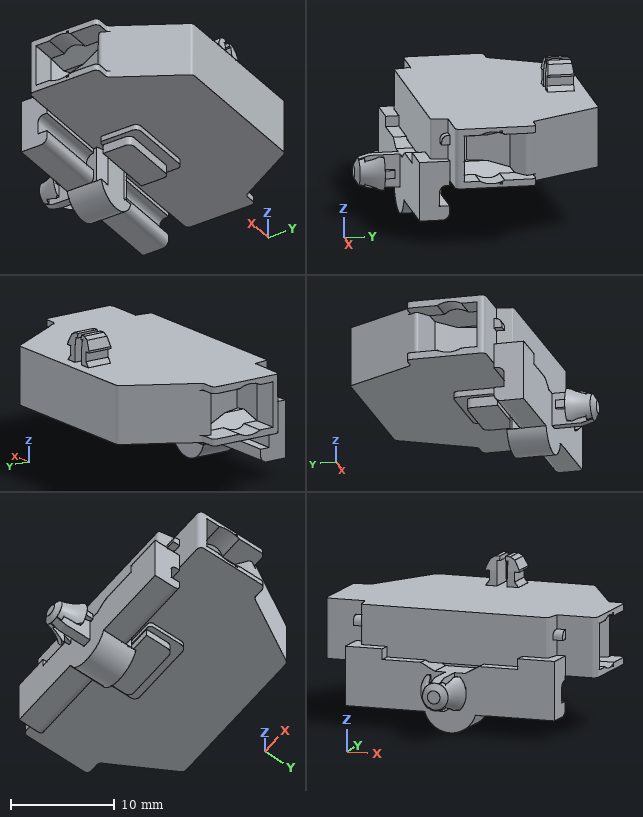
import cadquery as cq
import math


HOUSING_HEIGHT = 6.0
HOUSING_MID_Z = HOUSING_HEIGHT / 2
HOUSING_BACK_Y = 18.2
SHOULDER_Y = 10.95
WING_FRONT_Y = 3.0
WING_HALF_WIDTH = 14.08
BACK_HALF_WIDTH = 8.2
FLANK_ANGLE = math.radians(30)
SHOULDER_HALF_WIDTH = BACK_HALF_WIDTH + (HOUSING_BACK_Y - SHOULDER_Y) * math.tan(FLANK_ANGLE)
CORNER_RADIUS = 0.5

NOSE_FRONT_Y = 1.3
NOSE_BOTTOM_Z = 0.75
NOSE_ROOT_HALF_WIDTH = 9.98
NOSE_TIP_HALF_WIDTH = 9.68
NOSE_RADIUS = 0.25

ENTRY_HALF_HEIGHT = 2.3
ENTRY_FRONT_Y = 3.83
ENTRY_KNEE_Y = 10.27
ENTRY_KNEE_X = SHOULDER_HALF_WIDTH + (SHOULDER_Y - ENTRY_KNEE_Y) * math.tan(FLANK_ANGLE)
ENTRY_KNEE_RADIUS = 0.36
ENTRY_MARGIN = 1.0
FUNNEL_X = 11.4
FUNNEL_SLOPE = 1.2
THROAT_HALF_HEIGHT = 1.28
THROAT_X = FUNNEL_X - FUNNEL_SLOPE * (ENTRY_HALF_HEIGHT - THROAT_HALF_HEIGHT)
FLOOR_FRONT_Y = 4.87
FLOOR_FRONT_X = 9.56
FLOOR_BEND_Y = 7.85
FLOOR_BEND_X = 10.51
FLOOR_BACK_Y = 8.93
FLOOR_BACK_X = 10.86
BORE_Y = 6.6
BORE_RADIUS = 2.6
BORE_X = FUNNEL_X + FUNNEL_SLOPE * (BORE_RADIUS - ENTRY_HALF_HEIGHT)

NUB_Y = 7.47
NUB_LENGTH = 0.2
NUB_HEIGHT = 0.16
NUB_PROJECTION = 0.04
NUB_EDGE_OFFSET = 0.42

PLATE_HALF_WIDTH = 10.85
PLATE_BACK_Y = WING_FRONT_Y
PLATE_TOP_Z = 2.0
PLATE_BOTTOM_Z = -3.9
PLATE_STEP_X = 7.02
PLATE_STEP_Z = 0.95
DIP_Z = 0.17
DIP_TOP_HALF_WIDTH = 3.02
DIP_BOTTOM_HALF_WIDTH = 1.58
PLATE_BACK_RADIUS = 0.75
LIP_TOP_Z = -2.48
NOTCH_FRONT_Y = 1.98
NOTCH_TOP_Z = -0.45
NOTCH_RADIUS = 0.7

BULB_BACK_Y = 3.95
BULB_BOTTOM_Z = -5.84
BULB_HALF_CHORD = 2.64
BARB_Y = 3.42
BARB_FRONT_TAPER = 0.4
BARB_BACK_TAPER = 1.2

CATCH_INNER_X = 9.6
CATCH_TOP_Z = 4.6
CATCH_BOTTOM_Z = 3.65
CATCH_FRONT_Y = 2.2
CATCH_RADIUS = 0.65

CLIP_FRONT_Y = 14.36
CLIP_BACK_Y = 17.0
CLIP_TOP_Z = 8.95
CLIP_BARB_Z = 7.5
CLIP_BARB_EDGE_Z = 7.7
CLIP_NECK_Z = 6.52
CLIP_SLOT_TOP_Z = 8.5
CLIP_ROOT_X = 1.7
CLIP_NECK_X = 1.3
CLIP_BARB_X = 1.77
CLIP_CROWN_X = 0.8
CLIP_BEVEL_X = 1.28
CLIP_BEVEL_Z = 8.66
CLIP_SLOT_X = 0.54
CLIP_MOUTH_X = 0.29
CLIP_END_TAPER = 0.17

PEG_Z = -1.48
PEG_HALF_HEIGHT = 1.65
STEM_HALF_WIDTH = 0.48
PEG_TIP_Y = -4.5
PEG_TIP_RADIUS = 0.65
PEG_CHAMFER_Y = -4.07
PEG_CHAMFER_RADIUS = 1.33
PEG_FLARE_Y = -2.95
PEG_SKIRT_Y = -1.78
PEG_SKIRT_RADIUS = 2.36
ARM_ROOT_Y = -3.5
ARM_ROOT_X = 0.86
TAB_END_Y = -0.74
TAB_INNER_X = 1.58
TAB_OUTER_X = 1.92
TAB_HALF_HEIGHT = 0.4

PAD_HALF_WIDTH = 4.0
LOWER_PAD_HALF_WIDTH = 3.4
PAD_FRONT_Y = 4.6
PAD_BACK_Y = 9.05
PAD_BOTTOM_Z = -0.6
PAD_FRONT_RADIUS = 0.42
PAD_BACK_RADIUS = 0.62
LOWER_PAD_FRONT_Y = 4.67
LOWER_PAD_BACK_Y = 7.86
LOWER_PAD_BOTTOM_Z = -1.6


def both_sides(half):
    """A feature together with its mirror image across the X = 0 plane."""
    return half.union(half.mirror("YZ"))


def block(x_range, y_range, z_range):
    """Axis-aligned box given by its limits along X, Y and Z."""
    spans = (x_range, y_range, z_range)
    sizes = [high - low for low, high in spans]
    corner = tuple(low for low, high in spans)
    return cq.Workplane("XY").box(*sizes, centered=False).translate(corner)


def mirrored_outline(right_points):
    """Closed outline from the points of its right half."""
    left_points = [(-x, v) for x, v in reversed(right_points)]
    return right_points + left_points


def front_prism(points, y_front, y_back):
    """Extrude an X-Z outline from y_front to y_back."""
    plane = cq.Workplane("XZ", origin=(0, y_front, 0))
    return plane.polyline(points).close().extrude(y_front - y_back)


def make_housing():
    outline = mirrored_outline([
        (WING_HALF_WIDTH, WING_FRONT_Y),
        (WING_HALF_WIDTH, SHOULDER_Y),
        (SHOULDER_HALF_WIDTH, SHOULDER_Y),
        (BACK_HALF_WIDTH, HOUSING_BACK_Y),
    ])
    main = cq.Workplane("XY").polyline(outline).close().extrude(HOUSING_HEIGHT)
    main = main.edges("|Z").fillet(CORNER_RADIUS)

    nose_outline = mirrored_outline([
        (NOSE_TIP_HALF_WIDTH, NOSE_FRONT_Y),
        (NOSE_ROOT_HALF_WIDTH, WING_FRONT_Y),
    ])
    nose = cq.Workplane("XY").workplane(offset=NOSE_BOTTOM_Z).polyline(nose_outline).close()
    nose = nose.extrude(HOUSING_HEIGHT - NOSE_BOTTOM_Z)
    nose = nose.edges("|Z").edges("<Y").fillet(NOSE_RADIUS)
    return main.union(nose)


def make_wire_entry():
    """Cutter for the right-hand wire entry: slot and bore narrowing to a funnel."""
    outer_x = WING_HALF_WIDTH + ENTRY_MARGIN
    outer_y = SHOULDER_Y + ENTRY_MARGIN
    flank_x = SHOULDER_HALF_WIDTH - ENTRY_MARGIN * math.tan(FLANK_ANGLE)
    slot_outline = [
        (outer_x, ENTRY_FRONT_Y),
        (outer_x, outer_y),
        (flank_x, outer_y),
        (ENTRY_KNEE_X, ENTRY_KNEE_Y),
        (FLOOR_BACK_X, FLOOR_BACK_Y),
        (FLOOR_BEND_X, FLOOR_BEND_Y),
        (FLOOR_FRONT_X, FLOOR_FRONT_Y),
        (FUNNEL_X, ENTRY_FRONT_Y),
    ]
    slot = cq.Workplane("XY").workplane(offset=HOUSING_MID_Z - ENTRY_HALF_HEIGHT)
    slot = slot.polyline(slot_outline).close().extrude(2 * ENTRY_HALF_HEIGHT)
    knee = cq.selectors.NearestToPointSelector((ENTRY_KNEE_X, ENTRY_KNEE_Y, HOUSING_MID_Z))
    slot = slot.edges("|Z").edges(knee).fillet(ENTRY_KNEE_RADIUS)

    bore = cq.Workplane("YZ", origin=(FUNNEL_X, BORE_Y, HOUSING_MID_Z))
    bore = bore.circle(BORE_RADIUS).extrude(outer_x - FUNNEL_X)

    upper_profile = [
        (FLOOR_FRONT_X, HOUSING_MID_Z + THROAT_HALF_HEIGHT),
        (THROAT_X, HOUSING_MID_Z + THROAT_HALF_HEIGHT),
        (BORE_X, HOUSING_MID_Z + BORE_RADIUS),
        (outer_x, HOUSING_MID_Z + BORE_RADIUS),
    ]
    lower_profile = [(x, HOUSING_HEIGHT - z) for x, z in reversed(upper_profile)]
    funnel = front_prism(upper_profile + lower_profile, ENTRY_FRONT_Y, outer_y)
    return slot.union(bore).intersect(funnel)


def make_nubs():
    """Two tiny nubs on the edges of the right-hand wing walls."""
    x_range = (WING_HALF_WIDTH - NUB_LENGTH, WING_HALF_WIDTH + NUB_PROJECTION)
    y_range = (NUB_Y - NUB_LENGTH / 2, NUB_Y + NUB_LENGTH / 2)
    nubs = cq.Workplane("XY")
    for z in (NUB_EDGE_OFFSET, HOUSING_HEIGHT - NUB_EDGE_OFFSET):
        nubs = nubs.add(block(x_range, y_range, (z - NUB_HEIGHT / 2, z + NUB_HEIGHT / 2)))
    return nubs.combine()


def make_plate():
    outline = mirrored_outline([
        (PLATE_HALF_WIDTH, PLATE_BOTTOM_Z),
        (PLATE_HALF_WIDTH, PLATE_TOP_Z),
        (PLATE_STEP_X, PLATE_TOP_Z),
        (PLATE_STEP_X, PLATE_STEP_Z),
        (DIP_TOP_HALF_WIDTH, PLATE_STEP_Z),
        (DIP_BOTTOM_HALF_WIDTH, DIP_Z),
    ])
    plate = front_prism(outline, 0, PLATE_BACK_Y)
    plate = plate.edges("|X").edges("<Z").edges(">Y").fillet(PLATE_BACK_RADIUS)

    notch = block((-PLATE_HALF_WIDTH, PLATE_HALF_WIDTH),
                  (NOTCH_FRONT_Y, PLATE_BACK_Y), (LIP_TOP_Z, NOTCH_TOP_Z))
    notch = notch.edges("|X").edges(">Z").edges("<Y").fillet(NOTCH_RADIUS)
    return plate.cut(notch)


def make_bulb():
    """Round lobe below the plate and the barbed column that rises behind it."""
    lobe = cq.Workplane("XZ").moveTo(-BULB_HALF_CHORD, PLATE_BOTTOM_Z)
    lobe = lobe.threePointArc((0, BULB_BOTTOM_Z), (BULB_HALF_CHORD, PLATE_BOTTOM_Z))
    lobe = lobe.close().extrude(-BULB_BACK_Y)

    column_outline = mirrored_outline([
        (BULB_HALF_CHORD - BARB_FRONT_TAPER, NOTCH_FRONT_Y),
        (BULB_HALF_CHORD, BARB_Y),
        (BULB_HALF_CHORD - BARB_BACK_TAPER, BULB_BACK_Y),
    ])
    column = cq.Workplane("XY").workplane(offset=PLATE_BOTTOM_Z)
    column = column.polyline(column_outline).close().extrude(-PLATE_BOTTOM_Z)
    return lobe.union(column)


def make_catch():
    """Right-hand catch peg in front of the wing, rounded along its upper front edge."""
    catch = block((CATCH_INNER_X, PLATE_HALF_WIDTH),
                  (CATCH_FRONT_Y, WING_FRONT_Y), (CATCH_BOTTOM_Z, CATCH_TOP_Z))
    return catch.edges("|X").edges(">Z").edges("<Y").fillet(CATCH_RADIUS)


def make_top_clip():
    """Right-hand leg of the split clip."""
    leg = front_prism([
        (CLIP_SLOT_X, HOUSING_HEIGHT),
        (CLIP_ROOT_X, HOUSING_HEIGHT),
        (CLIP_NECK_X, CLIP_NECK_Z),
        (CLIP_NECK_X, CLIP_BARB_Z),
        (CLIP_BARB_X, CLIP_BARB_Z),
        (CLIP_BARB_X, CLIP_BARB_EDGE_Z),
        (CLIP_BEVEL_X, CLIP_BEVEL_Z),
        (CLIP_CROWN_X, CLIP_TOP_Z),
        (CLIP_MOUTH_X, CLIP_TOP_Z),
        (CLIP_MOUTH_X, CLIP_SLOT_TOP_Z),
        (CLIP_SLOT_X, CLIP_SLOT_TOP_Z),
    ], CLIP_FRONT_Y, CLIP_BACK_Y)
    side_outline = [
        (CLIP_FRONT_Y, HOUSING_HEIGHT),
        (CLIP_BACK_Y, HOUSING_HEIGHT),
        (CLIP_BACK_Y, CLIP_BARB_Z),
        (CLIP_BACK_Y - CLIP_END_TAPER, CLIP_TOP_Z),
        (CLIP_FRONT_Y + CLIP_END_TAPER, CLIP_TOP_Z),
        (CLIP_FRONT_Y, CLIP_BARB_Z),
    ]
    side = cq.Workplane("YZ").polyline(side_outline).close().extrude(CLIP_BARB_X)
    return leg.intersect(side)


def make_front_peg():
    """Flat stem with a round arrowhead whose two arms spring from the tip."""
    head = cq.Workplane("XY").moveTo(0, PEG_TIP_Y).lineTo(PEG_TIP_RADIUS, PEG_TIP_Y)
    head = head.lineTo(PEG_CHAMFER_RADIUS, PEG_CHAMFER_Y)
    head = head.threePointArc((PEG_HALF_HEIGHT, PEG_FLARE_Y), (PEG_SKIRT_RADIUS, PEG_SKIRT_Y))
    head = head.lineTo(0, PEG_SKIRT_Y).close()
    head = head.revolve(360, (0, 0, 0), (0, 1, 0)).translate((0, 0, PEG_Z))
    z_range = (PEG_Z - PEG_HALF_HEIGHT, PEG_Z + PEG_HALF_HEIGHT)
    head = head.intersect(block((-PEG_SKIRT_RADIUS, PEG_SKIRT_RADIUS),
                                (PEG_TIP_Y, PEG_SKIRT_Y), z_range))

    arm_slope = (TAB_INNER_X - ARM_ROOT_X) / (TAB_END_Y - ARM_ROOT_Y)
    tab_root_x = ARM_ROOT_X + (PEG_SKIRT_Y - ARM_ROOT_Y) * arm_slope
    gap_outline = [
        (STEM_HALF_WIDTH, ARM_ROOT_Y),
        (ARM_ROOT_X, ARM_ROOT_Y),
        (tab_root_x, PEG_SKIRT_Y),
        (STEM_HALF_WIDTH, PEG_SKIRT_Y),
    ]
    gap = cq.Workplane("XY").workplane(offset=PEG_Z - PEG_HALF_HEIGHT)
    gap = gap.polyline(gap_outline).close().extrude(2 * PEG_HALF_HEIGHT)

    tab_outline = [
        (tab_root_x, PEG_SKIRT_Y),
        (TAB_OUTER_X, PEG_SKIRT_Y),
        (TAB_OUTER_X, TAB_END_Y),
        (TAB_INNER_X, TAB_END_Y),
    ]
    tab = cq.Workplane("XY").workplane(offset=PEG_Z - TAB_HALF_HEIGHT)
    tab = tab.polyline(tab_outline).close().extrude(2 * TAB_HALF_HEIGHT)

    stem_outline = [
        (0, PEG_Z + PEG_HALF_HEIGHT),
        (PEG_FLARE_Y, PEG_Z + PEG_HALF_HEIGHT),
        (PEG_CHAMFER_Y, PEG_Z + PEG_CHAMFER_RADIUS),
        (PEG_CHAMFER_Y, PEG_Z - PEG_CHAMFER_RADIUS),
        (PEG_FLARE_Y, PEG_Z - PEG_HALF_HEIGHT),
        (0, PEG_Z - PEG_HALF_HEIGHT),
    ]
    stem = cq.Workplane("YZ").polyline(stem_outline).close().extrude(STEM_HALF_WIDTH, both=True)
    return head.cut(both_sides(gap)).union(both_sides(tab)).union(stem)


def make_pads():
    """Two stepped pads with rounded corners under the housing."""
    upper = block((-PAD_HALF_WIDTH, PAD_HALF_WIDTH),
                  (PAD_FRONT_Y, PAD_BACK_Y), (PAD_BOTTOM_Z, 0))
    upper = upper.edges("|Z").edges(">Y").fillet(PAD_BACK_RADIUS)
    upper = upper.edges("|Z").edges("<Y").fillet(PAD_FRONT_RADIUS)
    lower = block((-LOWER_PAD_HALF_WIDTH, LOWER_PAD_HALF_WIDTH),
                  (LOWER_PAD_FRONT_Y, LOWER_PAD_BACK_Y), (LOWER_PAD_BOTTOM_Z, PAD_BOTTOM_Z))
    lower = lower.edges("|Z").edges(">Y").fillet(PAD_BACK_RADIUS)
    return upper.union(lower)


housing = make_housing().cut(both_sides(make_wire_entry())).union(make_nubs())
result = (
    housing
    .union(make_plate())
    .union(make_bulb())
    .union(both_sides(make_catch()))
    .union(both_sides(make_top_clip()))
    .union(make_front_peg())
    .union(make_pads())
)